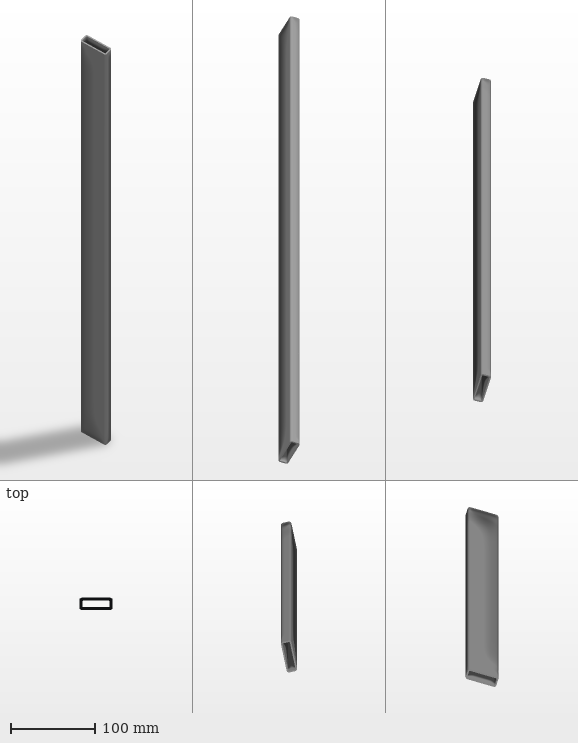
import cadquery as cq

width = 38.0
depth = 13.0
length = 703.0
wall = 1.8
inner_radius = wall / 2
outer_radius = inner_radius + wall


def rounded_bar(size_x, size_y, radius):
    """Bar of the full length with its four long edges rounded."""
    bar = cq.Workplane("XY").rect(size_x, size_y).extrude(length)
    return bar.edges("|Z").fillet(radius)


outer = rounded_bar(width, depth, outer_radius)
bore = rounded_bar(width - 2 * wall, depth - 2 * wall, inner_radius)

result = outer.cut(bore)